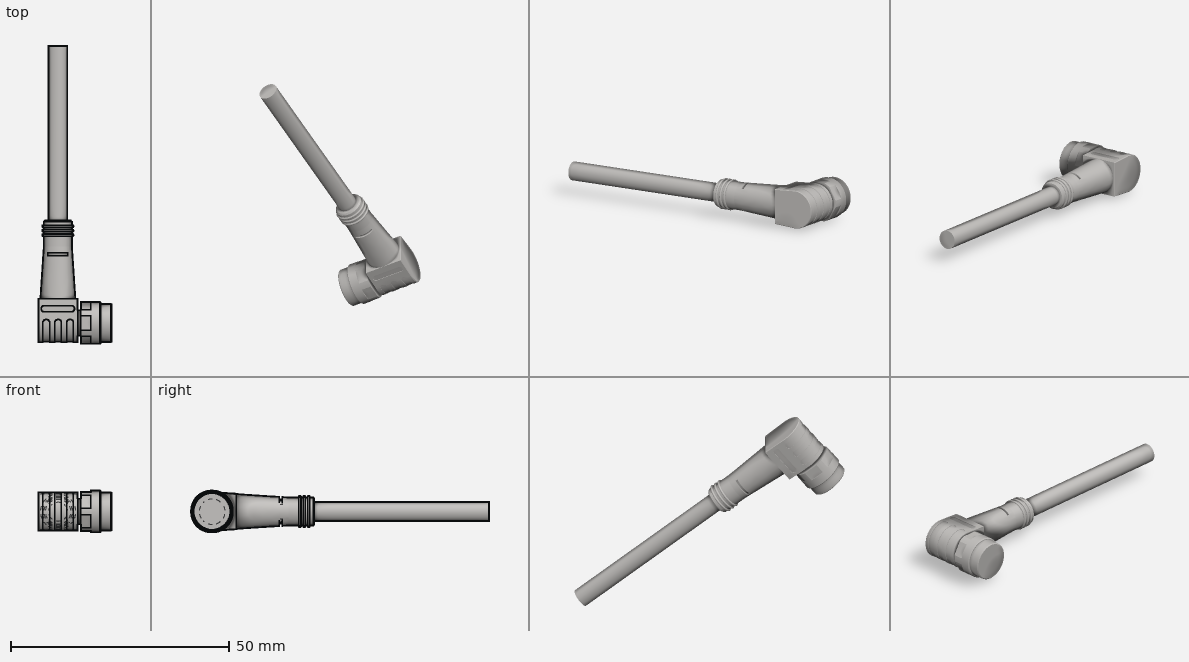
import cadquery as cq
import math


overall_length = 68.3

body_left = -4.5
body_right = 4.5
body_radius = 4.45
body_back = 5.6
body_back_half_height = 4.1
body_edge_chamfer = 0.15

groove_count = 3
groove_pitch = 2.7
groove_width = 1.5
groove_depth = 0.1
groove_middle = 0.1
groove_end_rise = 0.55

recess_length = 7.65
recess_width = 1.45
recess_center = 3.0
recess_depth = 0.15

neck_radius = 5.9 / 2
nut_start = 5.25
nut_flat_end = 7.6
nut_collar_end = 9.85
nut_end = 12.35
nut_collar_radius = 9.6 / 2
nut_tip_radius = 8.8 / 2
nut_shoulder_chamfer = 0.2
nut_tip_chamfer = 0.2
nut_flat_count = 6
nut_flat_distance = 4.5

sleeve_base_radius = 4.0
sleeve_radius = 6.5 / 2
sleeve_taper_end = 17.5
sleeve_end = 23.5
sleeve_chamfer = 0.35
cable_radius = 4.4 / 2
cable_end = overall_length - nut_collar_radius

ring_radius = 7.2 / 2
ring_width = 0.5
ring_count = 3
ring_pitch = 1.0
first_ring = 20.15

window_start = 15.45
window_width = 0.6
window_length = 4.65
window_floor_radius = 5.7 / 2

corner_distance = math.hypot(body_back, body_back_half_height)
corner_angle = math.atan2(body_back_half_height, body_back)
tangent_angle = corner_angle + math.acos(body_radius / corner_distance)
tangent_y = body_radius * math.cos(tangent_angle)
tangent_z = body_radius * math.sin(tangent_angle)


def body_outline():
    """D-shaped outline: a round nose whose tangents run to the flat back."""
    return (
        cq.Workplane("YZ", origin=(body_left, 0, 0))
        .moveTo(body_back, -body_back_half_height)
        .lineTo(body_back, body_back_half_height)
        .lineTo(tangent_y, tangent_z)
        .threePointArc((-body_radius, 0), (tangent_y, -tangent_z))
        .close()
    )


def make_body():
    """Elbow block with a chamfer around its closed side."""
    block = body_outline().extrude(body_right - body_left)
    return block.faces("<X").chamfer(body_edge_chamfer)


def make_grooves():
    """Cutters that leave a core, slightly smaller than the body, standing in each groove."""
    core = body_outline().offset2D(-groove_depth).extrude(body_right - body_left)
    grooves = cq.Workplane("XY")
    for index in range(groove_count):
        center = groove_middle + (index - (groove_count - 1) / 2) * groove_pitch
        groove = (
            cq.Workplane("XY")
            .moveTo(center - groove_width / 2, -2 * body_radius)
            .lineTo(center - groove_width / 2, tangent_y)
            .threePointArc((center, tangent_y + groove_end_rise), (center + groove_width / 2, tangent_y))
            .lineTo(center + groove_width / 2, -2 * body_radius)
            .close()
            .extrude(body_radius, both=True)
        )
        grooves = grooves.add(groove.cut(core))
    return grooves.combine()


def make_recess():
    """Slot cutter whose floor is parallel to the sloping top of the body."""
    slope = tangent_angle - math.pi / 2
    return (
        cq.Workplane("XY", origin=(0, recess_center, body_radius - recess_depth))
        .slot2D(recess_length, recess_width)
        .extrude(body_radius)
        .rotate((0, 0, 0), (1, 0, 0), math.degrees(slope))
    )


def make_plug():
    """Neck and coupling nut, with flats cut into the back of the nut."""
    profile = [
        (0, 0),
        (0, neck_radius),
        (nut_start, neck_radius),
        (nut_start, nut_collar_radius),
        (nut_collar_end - nut_shoulder_chamfer, nut_collar_radius),
        (nut_collar_end, nut_collar_radius - nut_shoulder_chamfer),
        (nut_collar_end, nut_tip_radius),
        (nut_end - nut_tip_chamfer, nut_tip_radius),
        (nut_end, nut_tip_radius - nut_tip_chamfer),
        (nut_end, 0),
    ]
    plug = cq.Workplane("XY").polyline(profile).close().revolve(360, (0, 0, 0), (1, 0, 0))
    flat_cutter = cq.Workplane("XY", origin=(nut_start, 0, nut_flat_distance)).box(
        nut_flat_end - nut_start,
        2 * nut_collar_radius,
        nut_collar_radius,
        centered=(False, True, False),
    )
    for index in range(nut_flat_count):
        plug = plug.cut(flat_cutter.rotate((0, 0, 0), (1, 0, 0), index * 360 / nut_flat_count))
    return plug


def make_sleeve_and_cable():
    """Round strain relief and cable along Y."""
    profile = [
        (0, 0),
        (sleeve_base_radius, 0),
        (sleeve_base_radius, body_back),
        (sleeve_radius, sleeve_taper_end),
        (sleeve_radius, sleeve_end - sleeve_chamfer),
        (sleeve_radius - sleeve_chamfer, sleeve_end),
        (cable_radius, sleeve_end),
        (cable_radius, cable_end),
        (0, cable_end),
    ]
    return cq.Workplane("XY").polyline(profile).close().revolve(360, (0, 0, 0), (0, 1, 0))


def make_ring(center):
    """Rounded ring around the sleeve."""
    return (
        cq.Workplane("XY")
        .moveTo(0, center - ring_width / 2)
        .lineTo(sleeve_radius, center - ring_width / 2)
        .threePointArc((ring_radius, center), (sleeve_radius, center + ring_width / 2))
        .lineTo(0, center + ring_width / 2)
        .close()
        .revolve(360, (0, 0, 0), (0, 1, 0))
    )


def make_windows():
    """Cutter for both sleeve windows: an upright slab around a round core."""
    slab = cq.Workplane("XY", origin=(0, window_start, 0)).box(
        window_length,
        window_width,
        2 * sleeve_base_radius,
        centered=(True, False, True),
    )
    core = cq.Workplane("XZ").circle(window_floor_radius).extrude(-sleeve_taper_end)
    return slab.cut(core)


result = make_body().cut(make_grooves())
result = result.union(make_plug()).union(make_sleeve_and_cable())
for index in range(ring_count):
    result = result.union(make_ring(first_ring + index * ring_pitch))
result = result.cut(make_windows())
recess = make_recess()
result = result.cut(recess).cut(recess.mirror("XY"))